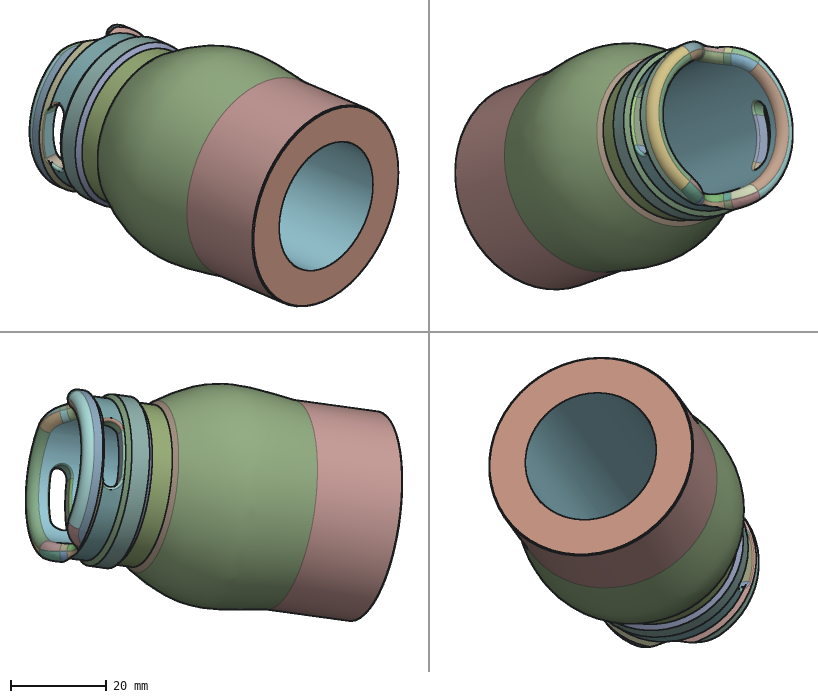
import cadquery as cq
import math

length = 70.0
bore_radius = 28.5 / 2
groove_radius = 34.5 / 2
rim_radius = 36.5 / 2
socket_radius = 44.5 / 2
dome_radius = 47.4 / 2

shoulder = rim_radius - groove_radius
rim_end = 4.0
collar_start = 10.5
floor_start = rim_end + shoulder
floor_end = collar_start - shoulder
collar_end = 14.5
dome_start = 21.0
dome_crest = 37.0
socket_start = 50.7
end_chamfer = 0.25

dome_start_slope = 0.61
dome_end_slope = -0.13

mid_radius = (rim_radius + bore_radius) / 2
round_clearance = 0.02
rim_round = (rim_radius - bore_radius) / 2 - round_clearance
notch_depth = 4.85
lead_radius = 9.0
bottom_radius = 3.5
flank_angle = math.radians(45)

slot_length = 14.7
slot_width = 4.4
slot_center = 6.75
slot_edge_round = 0.5

tolerance = 0.01
straight_edges = cq.selectors.StringSyntaxSelector("%LINE")


def make_body():
    """Revolved outer shape, with the rim and groove left at the collar radius."""
    profile = (
        cq.Workplane("XY")
        .moveTo(0, bore_radius)
        .lineTo(0, rim_radius)
        .lineTo(collar_end, rim_radius)
        .lineTo(collar_end + shoulder, groove_radius)
        .lineTo(dome_start - shoulder, groove_radius)
        .lineTo(dome_start, rim_radius)
        .spline(
            [(dome_crest, dome_radius), (socket_start, socket_radius)],
            tangents=[(1, dome_start_slope), (1, 0), (1, dome_end_slope)],
            includeCurrent=True,
        )
        .lineTo(length - end_chamfer, socket_radius)
        .lineTo(length, socket_radius - end_chamfer)
        .lineTo(length, bore_radius)
        .close()
    )
    return profile.revolve(360, (0, 0, 0), (1, 0, 0))


def notch_outline(height):
    """Notch outline at Z = height; its Y widths grow in proportion to the height."""
    widening = height / mid_radius
    rise = 1 - math.cos(flank_angle)
    reach = math.sin(flank_angle)
    bottom_x = notch_depth - bottom_radius * rise
    bottom_y = bottom_radius * reach
    lead_x = lead_radius * rise
    lead_y = bottom_y + (bottom_x - lead_x) / math.tan(flank_angle)
    start_y = lead_y + lead_radius * reach
    lead_mid_x = lead_radius * (1 - math.cos(flank_angle / 2))
    lead_mid_y = start_y - lead_radius * math.sin(flank_angle / 2)

    def point(x, y):
        return (x, y * widening)

    return (
        cq.Workplane("XY", origin=(0, 0, height))
        .moveTo(*point(0, start_y))
        .threePointArc(point(lead_mid_x, lead_mid_y), point(lead_x, lead_y))
        .lineTo(*point(bottom_x, bottom_y))
        .threePointArc(point(notch_depth, 0), point(bottom_x, -bottom_y))
        .lineTo(*point(lead_x, -lead_y))
        .threePointArc(point(lead_mid_x, -lead_mid_y), point(0, -start_y))
        .close()
        .wire()
        .val()
    )


def cut_notches(body):
    """Cut a radially widening notch on each Z side and round the whole rim."""
    inner = notch_outline(bore_radius / 2)
    outer = notch_outline(rim_radius + shoulder)
    notch = cq.Workplane(cq.Solid.makeLoft([inner, outer], True))
    body = body.cut(notch).cut(notch.rotate((0, 0, 0), (1, 0, 0), 180))
    rim_zone = cq.selectors.BoxSelector(
        (-shoulder, -rim_radius, -rim_radius),
        (notch_depth, rim_radius, rim_radius),
    )
    return body.faces("%CYLINDER").edges(rim_zone).fillet(rim_round)


def cut_groove(body):
    """Turn the groove, with 45 degree sides, between the rim and the collar."""
    outside = rim_radius + shoulder
    cutter = (
        cq.Workplane("XY")
        .moveTo(rim_end - shoulder, outside)
        .lineTo(floor_start, groove_radius)
        .lineTo(floor_end, groove_radius)
        .lineTo(collar_start + shoulder, outside)
        .close()
        .revolve(360, (0, 0, 0), (1, 0, 0))
    )
    return body.cut(cutter)


def slot_cutter():
    """Straight slot through both Y sides."""
    return (
        cq.Workplane("XZ", origin=(slot_center, 0, 0))
        .slot2D(slot_length, slot_width, 90)
        .extrude(rim_radius + shoulder, both=True)
    )


def slot_edges_within(end, radius):
    """Selector for edges around the slots that lie before X = end and inside the radius."""
    width_reach = radius + tolerance
    height_reach = slot_length / 2 + shoulder
    return cq.selectors.BoxSelector(
        (slot_center - slot_width, -width_reach, -height_reach),
        (end + tolerance, width_reach, height_reach),
        boundingbox=True,
    )


def slot_flare():
    """Material lost where the slot edges round over onto the groove floor."""
    ring = (
        cq.Workplane("YZ", origin=(floor_start, 0, 0))
        .circle(groove_radius)
        .circle(bore_radius)
        .extrude(floor_end - floor_start)
        .rotate((0, 0, 0), (1, 0, 0), 90)
    )
    all_edges = slot_edges_within(floor_end, groove_radius)
    bore_edges = slot_edges_within(floor_end, bore_radius)
    slotted = ring.cut(slot_cutter())
    return ring.cut(slotted.edges(all_edges - bore_edges - straight_edges).fillet(slot_edge_round))


def cut_slots(body):
    """Cut the side slots and round their edges in the bore, on the rim and on the groove floor."""
    bore_edges = slot_edges_within(floor_end, bore_radius)
    rim_edges = slot_edges_within(floor_start, rim_radius)
    body = body.cut(slot_cutter())
    body = body.edges(bore_edges + rim_edges - straight_edges).fillet(slot_edge_round)
    return body.cut(slot_flare())


result = cut_slots(cut_groove(cut_notches(make_body())))